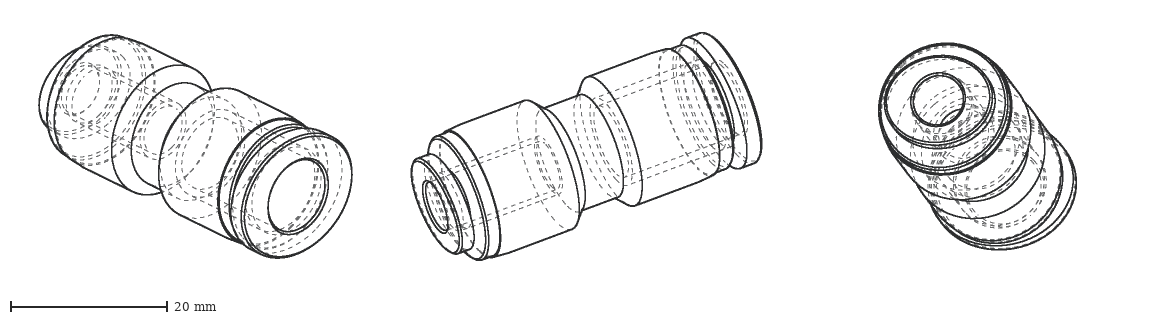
import cadquery as cq

total_length = 42.2

housing_start = 3.1
housing_end = 38.7
housing_middle = 20.7
neck_half_length = 2.75
shoulder_half_length = 4.5
taper_start_offset = 13.67
taper_end_offset = 15.75
neck_diameter = 14.0
barrel_diameter = 17.6
taper_end_diameter = 17.25
end_ring_diameter = 16.9
end_chamfer = 0.3

flange_chamfer = 0.3
left_flange_width = 14.1
left_flange_height = 11.9
left_flange_thickness = 2.0
left_sleeve_diameter = 7.9
left_bore_diameter = 6.55
right_flange_width = 19.0
right_flange_height = 16.65
right_flange_thickness = 2.28
right_sleeve_diameter = 11.9
right_bore_diameter = 9.75
bore_chamfer = 0.3

left_socket_floor = housing_middle - shoulder_half_length
right_socket_floor = housing_middle + shoulder_half_length
left_sleeve_length = left_socket_floor
right_sleeve_length = total_length - right_socket_floor


def cylinder(start, end, diameter):
    """Solid cylinder on the X axis between two X positions."""
    return cq.Workplane("YZ").workplane(offset=start).circle(diameter / 2).extrude(end - start)


def barrel_half_profile(end, side):
    """(x, radius) points from the neck to one housing end; side is -1 (left) or +1 (right)."""
    taper_end = housing_middle + side * taper_end_offset
    return [
        (housing_middle + side * neck_half_length, neck_diameter / 2),
        (housing_middle + side * shoulder_half_length, barrel_diameter / 2),
        (housing_middle + side * taper_start_offset, barrel_diameter / 2),
        (taper_end, taper_end_diameter / 2),
        (taper_end, end_ring_diameter / 2),
        (end - side * end_chamfer, end_ring_diameter / 2),
        (end, end_ring_diameter / 2 - end_chamfer),
        (end, 0),
    ]


def make_housing():
    """Revolved housing with a blind socket for each collar sleeve."""
    left_points = barrel_half_profile(housing_start, -1)
    right_points = barrel_half_profile(housing_end, 1)
    profile = cq.Workplane("XY").polyline(left_points[::-1] + right_points).close()
    body = profile.revolve(360, (0, 0, 0), (1, 0, 0))
    left_socket = cylinder(housing_start, left_socket_floor, left_sleeve_diameter)
    right_socket = cylinder(right_socket_floor, housing_end, right_sleeve_diameter)
    return body.cut(left_socket).cut(right_socket)


def make_collar(width, height, thickness, sleeve_diameter, bore_diameter, length):
    """Collar with its outer face at X = 0 and its sleeve pointing toward +X."""
    flange = cq.Workplane("YZ").ellipse(width / 2, height / 2).extrude(thickness)
    flange = flange.faces("<X").edges().chamfer(flange_chamfer)
    collar = flange.union(cylinder(0, length, sleeve_diameter))
    collar = collar.cut(cylinder(0, length, bore_diameter))
    return collar.faces("<X").edges("%CIRCLE").chamfer(bore_chamfer)


housing = make_housing()

left_collar = make_collar(
    left_flange_width,
    left_flange_height,
    left_flange_thickness,
    left_sleeve_diameter,
    left_bore_diameter,
    left_sleeve_length,
)

right_collar = make_collar(
    right_flange_width,
    right_flange_height,
    right_flange_thickness,
    right_sleeve_diameter,
    right_bore_diameter,
    right_sleeve_length,
)
right_collar = right_collar.rotate((0, 0, 0), (0, 0, 1), 180).translate((total_length, 0, 0))

result = cq.Compound.makeCompound([housing.val(), left_collar.val(), right_collar.val()])